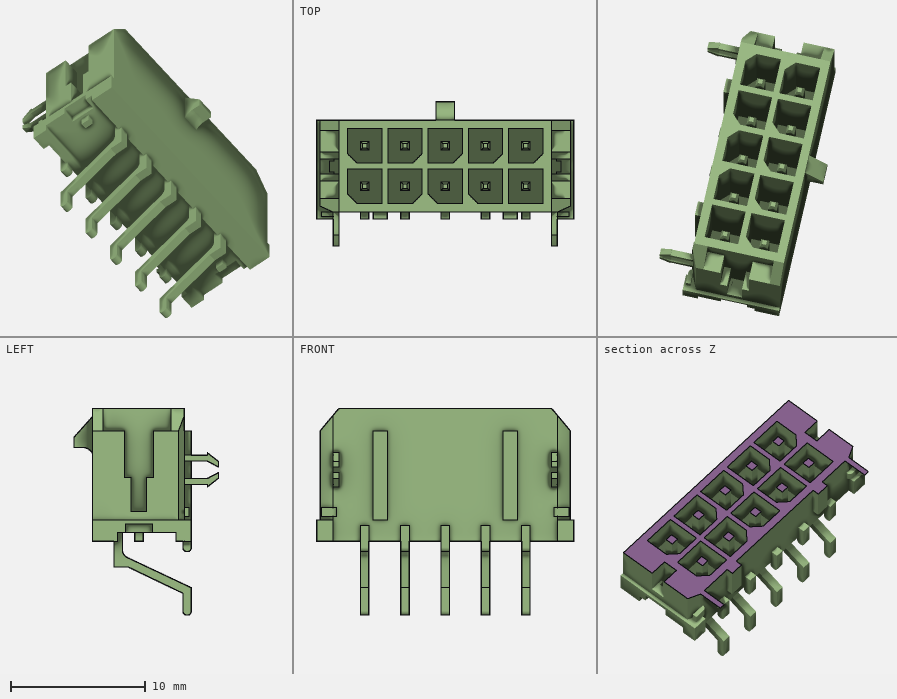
import cadquery as cq


overall_depth = 10.77
overall_height = 15.4

pitch = 3.0
columns = 5
front_row_y = 1.93
column_xs = [(i - (columns - 1) / 2) * pitch for i in range(columns)]

housing_height = 9.9
housing_depth = 6.85
core_half_width = 7.93
side_half_width = 9.32
shoulder_z = 8.24
corner_cut_x = 0.96
corner_cut_y = 0.44
front_flat_half_width = side_half_width - corner_cut_x

base_height = 1.6
base_half_width = 9.575
foot_projection = 0.52
relief_height = 0.65
relief_front_y = 0.64
relief_back_y = 4.99

front_gusset_y = 1.02
back_gusset_y = 6.08
slot_y = 3.39
wide_slot_width = 2.18
wide_slot_floor_z = 4.75
narrow_slot_width = 1.15
narrow_slot_floor_z = 2.24
pocket_width = 0.8
pocket_half_width = 8.62
pocket_step_half_width = 8.28
pocket_depth = 0.5
notch_width = 2.0
notch_top_z = 1.29

cavity_size = 2.56
cavity_corner_cut = 0.7
cavity_floor_z = 2.0
front_row_cuts = [-1, 1, -1, -1, 0]
back_row_cuts = [-1, 1, 1, 1, 1]

pin_size = 0.64
pin_top_z = 7.0
pin_tip_size = 0.32
pin_tip_height = 0.5
tail_tip_radius = 0.3
front_tail_top_z = 1.2
front_tail_bottom_z = -0.77
back_tail_bottom_z = housing_height - overall_height
tail_elbow_z = -1.91
tail_elbow_length = 1.04
tail_bend_radius = 0.6
tail_slope_top_z = -1.03
tail_slope_end_z = -3.45
tail_lower_bend_z = -3.87

rib_x = 4.84
rib_width = 1.06

latch_width = 1.38
latch_projection = 1.38
latch_top_z = 9.3
latch_nose_top_z = 7.76
latch_nose_bottom_z = 6.99
latch_root_length = 0.7
latch_root_radius = 0.9
latch_root_z = 6.57

clip_inner_x = 7.9
clip_thickness = front_flat_half_width - clip_inner_x
clip_z = 5.33
prong_inner_offset = 0.64
prong_outer_offset = 1.1
barb_offset = 1.28
prong_tip_inner_offset = 0.2
prong_tip_outer_offset = 0.63
barb_y = -1.7
prong_tip_y = housing_depth + latch_projection - overall_depth
clip_tail_width = 0.65

bar_inner_x = 8.09
bar_outer_x = 9.21
bar_bottom_z = 1.86
bar_top_z = 2.52
bar_projection = 0.35
bar_end_radius = 0.32

embed = 0.4


def block(x0, x1, y0, y1, z0, z1):
    """Axis-aligned box between two corners."""
    return cq.Workplane("XY").box(x1 - x0, y1 - y0, z1 - z0, centered=False).translate((x0, y0, z0))


def both_ends(shape):
    """The shape together with its mirror image across X = 0."""
    return shape.union(shape.mirror("YZ"))


def end_recess(half_width, y0, y1, z0, z1):
    """Cutter at the -X end, open outwards, reaching from the core wall."""
    return block(-half_width, -core_half_width, y0, y1, z0, z1)


def slot_cutter(width, half_width, z0, z1):
    """End recess centred on the latch slot."""
    return end_recess(half_width, slot_y - width / 2, slot_y + width / 2, z0, z1)


def make_shell():
    """Housing block with sloped shoulders and cut front corners."""
    profile = [
        (-side_half_width, 0),
        (side_half_width, 0),
        (side_half_width, shoulder_z),
        (core_half_width, housing_height),
        (-core_half_width, housing_height),
        (-side_half_width, shoulder_z),
    ]
    plan = [
        (-front_flat_half_width, 0),
        (front_flat_half_width, 0),
        (side_half_width, corner_cut_y),
        (side_half_width, housing_depth),
        (-side_half_width, housing_depth),
        (-side_half_width, corner_cut_y),
    ]
    elevation = cq.Workplane("XZ").polyline(profile).close().extrude(-housing_depth)
    footprint = cq.Workplane("XY").polyline(plan).close().extrude(housing_height)
    return elevation.intersect(footprint)


def make_base():
    """Flange around the housing foot, with a front foot at each end."""
    flange = block(-base_half_width, base_half_width, 0, housing_depth, 0, base_height)
    foot = block(-base_half_width, -front_flat_half_width, -foot_projection, embed, 0, base_height)
    return flange.union(both_ends(foot))


def make_end_cutters():
    """Recess above the pillars, stepped latch slot and its floor pocket, at both ends."""
    pocket_floor_z = narrow_slot_floor_z - pocket_depth
    cutters = end_recess(base_half_width, front_gusset_y, back_gusset_y, shoulder_z, housing_height)
    cutters = cutters.union(slot_cutter(wide_slot_width, base_half_width, wide_slot_floor_z, housing_height))
    cutters = cutters.union(slot_cutter(narrow_slot_width, base_half_width, narrow_slot_floor_z, housing_height))
    cutters = cutters.union(slot_cutter(pocket_width, pocket_half_width, pocket_floor_z, housing_height))
    cutters = cutters.union(
        slot_cutter(narrow_slot_width, pocket_step_half_width, pocket_floor_z, housing_height)
    )
    return both_ends(cutters)


def make_underside_cutters():
    """Channel along the underside and a taller notch through each end face."""
    channel = block(-base_half_width, base_half_width, relief_front_y, relief_back_y, 0, relief_height)
    notch = block(
        -base_half_width,
        -pocket_half_width,
        slot_y - notch_width / 2,
        slot_y + notch_width / 2,
        0,
        notch_top_z,
    )
    return channel.union(both_ends(notch))


def make_cavity(x, y, cut_side):
    """Square contact cavity with one front corner cut (side -1 or 1)."""
    half = cavity_size / 2
    height = housing_height - cavity_floor_z
    cavity = cq.Workplane("XY").rect(cavity_size, cavity_size).extrude(height)
    if cut_side:
        corner = [
            (cut_side * half, -half),
            (cut_side * (half - cavity_corner_cut), -half),
            (cut_side * half, -half + cavity_corner_cut),
        ]
        cavity = cavity.cut(cq.Workplane("XY").polyline(corner).close().extrude(height))
    return cavity.translate((x, y, cavity_floor_z))


def make_pin(x, y):
    """Square mating pin with a tapered tip, standing on the cavity floor."""
    shoulder = pin_top_z - pin_tip_height
    shaft = cq.Workplane("XY", origin=(x, y, cavity_floor_z - embed)).rect(pin_size, pin_size)
    shaft = shaft.extrude(shoulder - cavity_floor_z + embed)
    tip = cq.Workplane("XY", origin=(x, y, shoulder)).rect(pin_size, pin_size)
    tip = tip.workplane(offset=pin_tip_height).rect(pin_tip_size, pin_tip_size).loft(ruled=True)
    return shaft.union(tip)


def make_front_tail(x):
    """Straight solder tail partly sunk into the front wall, rounded at its end."""
    tail = block(
        x - pin_size / 2,
        x + pin_size / 2,
        -foot_projection,
        pin_size - foot_projection,
        front_tail_bottom_z,
        front_tail_top_z,
    )
    return tail.edges("<Z and |X").fillet(tail_tip_radius)


def make_back_tail(x):
    """Solder tail that drops from the back row and slopes forward to the front tails."""
    back_y = front_row_y + pitch + pin_size / 2
    upper_front_y = back_y - pin_size
    lower_front_y = -foot_projection
    lower_back_y = lower_front_y + pin_size
    outline = [
        (back_y, relief_height + embed),
        (back_y, tail_elbow_z),
        (back_y - tail_elbow_length, tail_elbow_z),
        (lower_back_y, tail_lower_bend_z),
        (lower_back_y, back_tail_bottom_z),
        (lower_front_y, back_tail_bottom_z),
        (lower_front_y, tail_slope_end_z),
        (upper_front_y, tail_slope_top_z),
        (upper_front_y, relief_height + embed),
    ]
    tail = cq.Workplane("YZ", origin=(x - pin_size / 2, 0, 0)).polyline(outline).close().extrude(pin_size)
    tail = tail.edges("<Z and |X").fillet(tail_tip_radius)
    inner_bend = cq.selectors.NearestToPointSelector((x, upper_front_y, tail_slope_top_z))
    return tail.edges("|X").edges(inner_bend).fillet(tail_bend_radius)


def make_rib(x):
    """Vertical stand-off rib on the front wall."""
    return block(x - rib_width / 2, x + rib_width / 2, -foot_projection, embed, base_height, shoulder_z)


def make_latch():
    """Locking ramp on the back wall with a concave root under its nose."""
    nose_y = housing_depth + latch_projection
    root_y = housing_depth - embed
    ramp = (
        cq.Workplane("YZ", origin=(-latch_width / 2, 0, 0))
        .moveTo(root_y, latch_top_z)
        .lineTo(housing_depth, latch_top_z)
        .lineTo(nose_y, latch_nose_top_z)
        .lineTo(nose_y, latch_nose_bottom_z)
        .lineTo(housing_depth + latch_root_length, latch_nose_bottom_z)
        .radiusArc((housing_depth, latch_root_z), -latch_root_radius)
        .lineTo(root_y, latch_root_z)
        .close()
    )
    return ramp.extrude(latch_width)


def make_clip():
    """Barbed board-lock prongs at the -X end, with the clip tail under the base."""

    def make_prong(side):
        outline = [
            (embed, clip_z + side * prong_inner_offset),
            (barb_y, clip_z + side * prong_inner_offset),
            (prong_tip_y, clip_z + side * prong_tip_inner_offset),
            (prong_tip_y, clip_z + side * prong_tip_outer_offset),
            (barb_y, clip_z + side * barb_offset),
            (barb_y, clip_z + side * prong_outer_offset),
            (embed, clip_z + side * prong_outer_offset),
        ]
        plane = cq.Workplane("YZ", origin=(-front_flat_half_width, 0, 0))
        return plane.polyline(outline).close().extrude(clip_thickness)

    tail = block(
        -front_flat_half_width,
        -clip_inner_x,
        slot_y - clip_tail_width / 2,
        slot_y + clip_tail_width / 2,
        0,
        relief_height + embed,
    )
    return make_prong(1).union(make_prong(-1)).union(tail)


def make_bar():
    """Short bar above the -X foot, its inner front edge rounded into the front wall."""
    bar = block(-bar_outer_x, -bar_inner_x, -bar_projection, 0, bar_bottom_z, bar_top_z)
    return bar.edges("|Z and >X and <Y").fillet(bar_end_radius)


result = make_shell().union(make_base())
result = result.cut(make_end_cutters()).cut(make_underside_cutters())

for row_y, corner_cuts in ((front_row_y, front_row_cuts), (front_row_y + pitch, back_row_cuts)):
    for column_x, corner_cut in zip(column_xs, corner_cuts):
        result = result.cut(make_cavity(column_x, row_y, corner_cut))
        result = result.union(make_pin(column_x, row_y))

for column_x in column_xs:
    result = result.union(make_front_tail(column_x)).union(make_back_tail(column_x))

for rib_center_x in (-rib_x, rib_x):
    result = result.union(make_rib(rib_center_x))

result = result.union(make_latch())
result = result.union(both_ends(make_clip()))
result = result.union(both_ends(make_bar()))